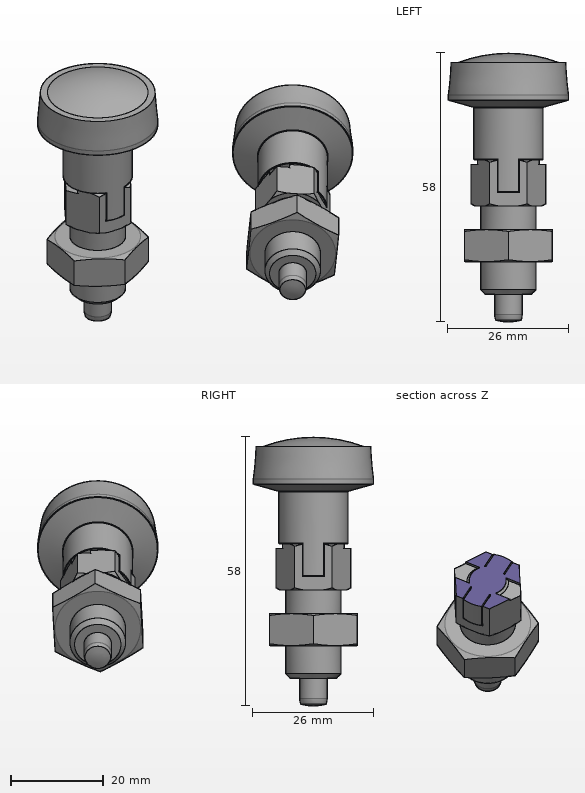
import cadquery as cq
import math

PIN_DOME_Z = 0.4
PIN_NOSE_Z = 1.6
THREAD_BOTTOM_Z = 6.0
NUT_BOTTOM_Z = 13.0
NUT_HEIGHT = 7.0
HEX_BOTTOM_Z = 25.0
HEX_TOP_Z = 35.0
KNOB_BOTTOM_Z = 46.2
KNOB_RIM_Z = 47.95
KNOB_BAND_Z = 49.0
KNOB_TOP_Z = 56.0
TOTAL_HEIGHT = 58.0

PIN_DIAMETER = 6.0
PIN_NOSE_DIAMETER = 5.5
THREAD_DIAMETER = 12.0
THREAD_CHAMFER = 1.0

NUT_WIDTH = 19.0
NUT_CHAMFER_DIAMETER = 18.5
NUT_CHAMFER_ANGLE = 15.0
BODY_WIDTH = 14.0
BODY_CHAMFER_DIAMETER = 14.4
BODY_CHAMFER_ANGLE = 30.0

SLOT_WIDTH = 4.8
DEEP_SLOT_DEPTH = 7.0
SHALLOW_SLOT_DEPTH = 1.0
SLEEVE_DIAMETER = 15.0
SLEEVE_EDGE_CHAMFER = 0.15
TAB_CLEARANCE = 0.2
CORE_DIAMETER = 8.0
CORE_FLARE = 0.5

KNOB_DIAMETER = 26.0
KNOB_TOP_DIAMETER = 24.8
KNOB_EDGE_BEVEL = 0.15
DOME_DIAMETER = 21.7


def cylinder(diameter, bottom, top):
    return cq.Workplane("XY").workplane(offset=bottom).circle(diameter / 2).extrude(top - bottom)


def dome_arc_point(radius, height):
    """Radius and rise above the base of the arc point halfway between the edge and the apex."""
    sphere_radius = (radius**2 + height**2) / (2 * height)
    half_angle = math.asin(radius / sphere_radius) / 2
    rise = height - sphere_radius * (1 - math.cos(half_angle))
    return sphere_radius * math.sin(half_angle), rise


def chamfered_hexagon(width, height, bottom, chamfer_diameter, chamfer_angle, turn):
    """Hexagonal prism whose corners are trimmed by a cone at both ends."""
    corner_radius = width / math.sqrt(3)
    flat_radius = chamfer_diameter / 2
    drop = (corner_radius - flat_radius) * math.tan(math.radians(chamfer_angle))
    prism = cq.Workplane("XY").polygon(6, 2 * corner_radius).extrude(height)
    envelope = (
        cq.Workplane("XZ")
        .moveTo(0, 0)
        .lineTo(flat_radius, 0)
        .lineTo(corner_radius, drop)
        .lineTo(corner_radius, height - drop)
        .lineTo(flat_radius, height)
        .lineTo(0, height)
        .close()
        .revolve(360, (0, 0, 0), (0, 1, 0))
    )
    hexagon = prism.intersect(envelope)
    return hexagon.rotate((0, 0, 0), (0, 0, 1), turn).translate((0, 0, bottom))


def make_pin():
    radius = PIN_DIAMETER / 2
    nose_radius = PIN_NOSE_DIAMETER / 2
    mid_radius, mid_rise = dome_arc_point(nose_radius, PIN_DOME_Z)
    return (
        cq.Workplane("XZ")
        .moveTo(0, THREAD_BOTTOM_Z)
        .lineTo(radius, THREAD_BOTTOM_Z)
        .lineTo(radius, PIN_NOSE_Z)
        .tangentArcPoint((nose_radius, PIN_DOME_Z), relative=False)
        .threePointArc((mid_radius, PIN_DOME_Z - mid_rise), (0, 0))
        .close()
        .revolve(360, (0, 0, 0), (0, 1, 0))
    )


def make_shank():
    shank = cylinder(THREAD_DIAMETER, THREAD_BOTTOM_Z, HEX_BOTTOM_Z)
    return shank.faces("<Z").chamfer(THREAD_CHAMFER)


def make_slot(length_x, length_y, depth):
    return (
        cq.Workplane("XY")
        .box(length_x, length_y, depth, centered=(True, True, False))
        .translate((0, 0, HEX_TOP_Z - depth))
    )


def make_body():
    """Hexagonal body with a deep index slot along X and a shallow one along Y."""
    body = chamfered_hexagon(
        BODY_WIDTH, HEX_TOP_Z - HEX_BOTTOM_Z, HEX_BOTTOM_Z, BODY_CHAMFER_DIAMETER, BODY_CHAMFER_ANGLE, 90
    )
    through_length = 2 * BODY_WIDTH
    body = body.cut(make_slot(through_length, SLOT_WIDTH, DEEP_SLOT_DEPTH))
    return body.cut(make_slot(SLOT_WIDTH, through_length, SHALLOW_SLOT_DEPTH))


def make_core():
    """Round core joining body and sleeve, flaring out onto the shallow slot floor."""
    radius = CORE_DIAMETER / 2
    slot_floor_z = HEX_TOP_Z - SHALLOW_SLOT_DEPTH
    return (
        cq.Workplane("XZ")
        .moveTo(0, HEX_BOTTOM_Z)
        .lineTo(radius, HEX_BOTTOM_Z)
        .lineTo(radius, slot_floor_z)
        .lineTo(radius + CORE_FLARE, slot_floor_z)
        .lineTo(radius, slot_floor_z + CORE_FLARE)
        .lineTo(radius, KNOB_BOTTOM_Z)
        .lineTo(0, KNOB_BOTTOM_Z)
        .close()
        .revolve(360, (0, 0, 0), (0, 1, 0))
    )


def make_sleeve():
    """Round sleeve resting on the body, with a tab reaching down each end of the deep slot."""
    tab_bottom = HEX_TOP_Z - DEEP_SLOT_DEPTH
    tab_width = SLOT_WIDTH - 2 * TAB_CLEARANCE
    sleeve = cylinder(SLEEVE_DIAMETER, HEX_TOP_Z, KNOB_BOTTOM_Z)
    sleeve = sleeve.faces("<Z").chamfer(SLEEVE_EDGE_CHAMFER)
    tab_cylinder = cylinder(SLEEVE_DIAMETER, tab_bottom, KNOB_BOTTOM_Z)
    tab_cylinder = tab_cylinder.faces("<Z").chamfer(SLEEVE_EDGE_CHAMFER)
    tab_slab = (
        cq.Workplane("XY")
        .box(SLEEVE_DIAMETER, tab_width, KNOB_BOTTOM_Z - tab_bottom, centered=(True, True, False))
        .translate((0, 0, tab_bottom))
    )
    return sleeve.union(tab_cylinder.intersect(tab_slab))


def make_knob():
    """Domed knob with a tapered grip and a conical underside beveled at both edges."""
    radius = KNOB_DIAMETER / 2
    neck_radius = SLEEVE_DIAMETER / 2
    dome_radius = DOME_DIAMETER / 2
    mid_radius, mid_rise = dome_arc_point(dome_radius, TOTAL_HEIGHT - KNOB_TOP_Z)
    return (
        cq.Workplane("XZ")
        .moveTo(0, KNOB_BOTTOM_Z)
        .lineTo(neck_radius, KNOB_BOTTOM_Z)
        .lineTo(neck_radius + KNOB_EDGE_BEVEL, KNOB_BOTTOM_Z + KNOB_EDGE_BEVEL)
        .lineTo(radius - KNOB_EDGE_BEVEL, KNOB_RIM_Z - KNOB_EDGE_BEVEL)
        .lineTo(radius, KNOB_RIM_Z)
        .lineTo(radius, KNOB_BAND_Z)
        .lineTo(KNOB_TOP_DIAMETER / 2, KNOB_TOP_Z)
        .lineTo(dome_radius, KNOB_TOP_Z)
        .threePointArc((mid_radius, KNOB_TOP_Z + mid_rise), (0, TOTAL_HEIGHT))
        .close()
        .revolve(360, (0, 0, 0), (0, 1, 0))
    )


lock_nut = chamfered_hexagon(
    NUT_WIDTH, NUT_HEIGHT, NUT_BOTTOM_Z, NUT_CHAMFER_DIAMETER, NUT_CHAMFER_ANGLE, 0
)

result = (
    make_pin()
    .union(make_shank())
    .union(lock_nut)
    .union(make_body())
    .union(make_core())
    .union(make_sleeve())
    .union(make_knob())
)